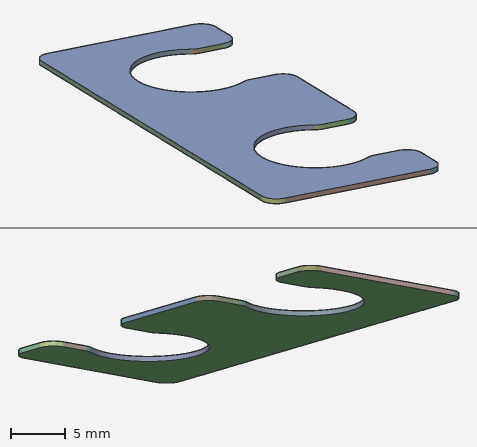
import cadquery as cq
import math

length = 43.7
width = 18.3
thickness = 0.5
corner_radius = 1.55

hole_spacing = 22.85
hole_radius = 5.6
hole_height = 10.65
slot_width = 9.35
neck_radius = 1.55

hole_y = hole_height - width / 2
slot_length = width - hole_height
neck_y = hole_y + math.sqrt(hole_radius**2 - (slot_width / 2) ** 2)
select_margin = 0.2


def keyhole(center_x):
    """Round hole with a narrower slot running out through the +Y edge."""
    hole = cq.Workplane("XY").center(center_x, hole_y).circle(hole_radius).extrude(thickness)
    slot = (
        cq.Workplane("XY")
        .center(center_x, hole_y + slot_length / 2)
        .rect(slot_width, slot_length)
        .extrude(thickness)
    )
    return hole.union(slot)


def round_upright_edges(body, y, radius):
    """Fillet every vertical edge that stands at the given Y."""
    band = cq.selectors.BoxSelector(
        (-length, y - select_margin, -thickness),
        (length, y + select_margin, 2 * thickness),
    )
    return body.edges("|Z").edges(band).fillet(radius)


plate = cq.Workplane("XY").rect(length, width).extrude(thickness)
for side in (-1, 1):
    plate = plate.cut(keyhole(side * hole_spacing / 2))

plate = round_upright_edges(plate, -width / 2, corner_radius)
plate = round_upright_edges(plate, width / 2, corner_radius)
result = round_upright_edges(plate, neck_y, neck_radius)